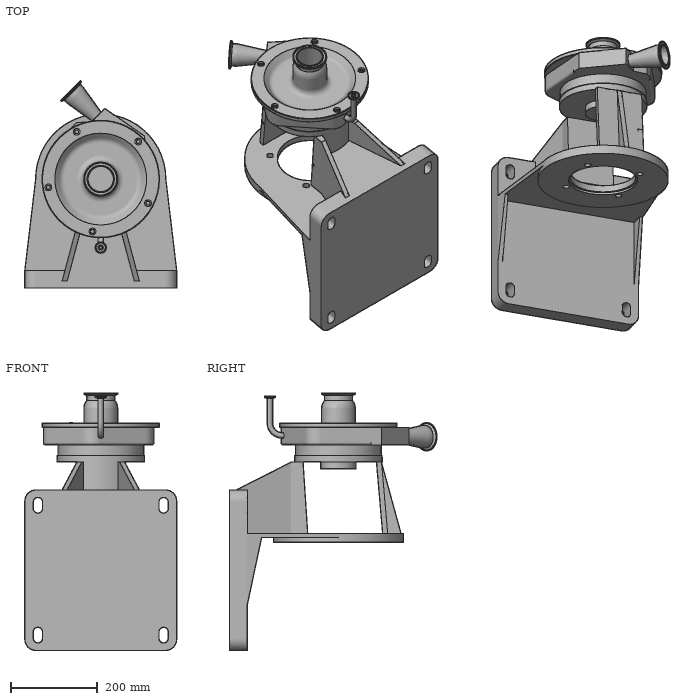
import cadquery as cq
import math


plate_width = 350.0
plate_height = 370.5
plate_front_y = -251.0
plate_thickness = 41.0
plate_back_y = plate_front_y + plate_thickness
plate_corner_radius = 26.0
slot_width = 21.0
slot_length = 35.5
slot_x = 145.0
slot_low_z = 35.5
slot_high_z = plate_height - slot_low_z

base_top_z = 270.0
base_sheet_thickness = 10.0
base_thickness = 21.0
base_radius = 150.0
base_bore_radius = 75.0
base_recess_radius = 79.5
base_recess_depth = 5.5
base_bolt_circle_radius = 92.0
base_bolt_count = 4
base_bolt_diameter = 15.0

bracket_front_y = -177.0
bracket_low_z = 104.0
bracket_thickness = 11.0

lantern_top_z = 434.5
lantern_ring_height = 15.5
lantern_ring_radius = 101.0
leg_width = 110.5
front_leg_outer_y = -108.5
front_leg_inner_low_y = -70.5
front_leg_inner_high_y = -81.5
back_leg_inner_low_y = 101.5
back_leg_inner_high_y = 87.0
back_leg_thickness = 12.0
back_rib_low_y = 144.0
pin_hole_diameter = 6.0
pin_hole_depth = 12.0
pin_hole_z = 340.0
front_pin_hole_y = -79.0
back_pin_hole_y = 103.0

gusset_thickness = 11.0
gusset_angle = 15.0
gusset_end_y = -235.0

casing_bottom_z = 473.5
casing_top_z = 514.0
casing_sides = 5
casing_first_corner_angle = 45.0
casing_corner_radius = 34.5
casing_corner_offset = 99.0
casing_bottom_fillet = 5.5
casing_neck_radius = 99.0
hub_radius = 41.0
hub_bottom_z = 418.5

outlet_angle = 135.0
outlet_offset = 95.0
outlet_z = 492.5
outlet_face_distance = 108.5
outlet_block_inner = 78.5
outlet_heel_length = 24.5
outlet_tongue_distance = 131.0
outlet_tongue_end = 53.0
outlet_block_outer = 121.5
outlet_end_distance = 193.5
outlet_base_radius = 15.5
outlet_mouth_radius = 26.0
outlet_flange_radius = 32.5
outlet_straight_length = 16.5
outlet_collar_length = 3.5
outlet_wall = 3.5

cover_top_z = 524.5
cover_radius = 135.5
cover_edge_chamfer = 1.0
cover_dish_radius = 105.5
cover_lip = 2.0
cover_floor_radius = 83.5
cover_floor_fillet = 14.0
cover_floor_z = 508.0
cover_bolt_circle_radius = 122.0
cover_bolt_diameter = 9.0
cover_counterbore_diameter = 15.5
cover_counterbore_depth = 6.0

inlet_top_z = 593.5
inlet_radius = 39.0
inlet_neck_radius = 32.5
inlet_bore_radius = 29.0
inlet_foot_radius = 54.0
inlet_shoulder_low_z = 558.5
inlet_shoulder_high_z = 575.5

rim_edge = 3.0
rim_cone = 3.0
rim_groove_depth = 1.0
rim_groove_margin = 2.5

drain_y = -158.0
drain_radius = 6.5
drain_bore_radius = 3.5
drain_z = 495.5
drain_bend_radius = 28.5
drain_inner_y = -107.0
drain_top_z = 586.5
drain_flange_radius = 13.0


def polar(radius, degrees):
    """Point at the given distance and angle from the pump axis."""
    angle = math.radians(degrees)
    return (radius * math.cos(angle), radius * math.sin(angle))


def cylinder(radius, low_z, high_z):
    return cq.Workplane("XY").workplane(offset=low_z).circle(radius).extrude(high_z - low_z)


def side_prism(points, width, center_x=0.0):
    """Extrude a (y, z) outline along X, centred on center_x."""
    return cq.Workplane("YZ").workplane(offset=center_x - width / 2).polyline(points).close().extrude(width)


def base_outline(low_z, height):
    """Half-round end about the pump axis, with straight sides that run to the plate's back corners."""
    corner_x = plate_width / 2
    return (
        cq.Workplane("XY").workplane(offset=low_z)
        .moveTo(-corner_x, plate_back_y)
        .lineTo(corner_x, plate_back_y)
        .lineTo(base_radius, 0)
        .threePointArc((0, base_radius), (-base_radius, 0))
        .close()
        .extrude(height)
    )


def mounting_plate():
    plate = (
        cq.Workplane("XY")
        .box(plate_width, plate_thickness, plate_height, centered=(True, False, False))
        .translate((0, plate_front_y, 0))
        .edges("|Y").fillet(plate_corner_radius)
    )
    slot_centers = [(x, z) for x in (-slot_x, slot_x) for z in (slot_low_z, slot_high_z)]
    slots = (
        cq.Workplane("XZ").workplane(offset=-plate_back_y)
        .pushPoints(slot_centers)
        .slot2D(slot_length, slot_width, 90)
        .extrude(plate_thickness)
    )
    return plate.cut(slots)


def base():
    bottom_z = base_top_z - base_thickness
    sheet = base_outline(base_top_z - base_sheet_thickness, base_sheet_thickness)
    body = sheet.union(cylinder(base_radius, bottom_z, base_top_z))
    bolt_holes = (
        cq.Workplane("XY").workplane(offset=bottom_z)
        .polarArray(base_bolt_circle_radius, 45, 360, base_bolt_count)
        .circle(base_bolt_diameter / 2)
        .extrude(base_thickness)
    )
    bore = cylinder(base_bore_radius, bottom_z, base_top_z)
    recess = cylinder(base_recess_radius, bottom_z, bottom_z + base_recess_depth)
    return body.cut(bore).cut(recess).cut(bolt_holes)


def brackets():
    """Triangles under both tapered edges of the base, flush with its sides."""
    wedge = side_prism(
        [(bracket_front_y, base_top_z), (plate_back_y, base_top_z), (plate_back_y, bracket_low_z),
         (bracket_front_y, base_top_z - base_sheet_thickness)],
        plate_width,
    )
    outline = base_outline(bracket_low_z, base_top_z - bracket_low_z)
    edge_x = plate_width / 2 - bracket_thickness
    inside = cq.Workplane("XY").box(2 * edge_x, 2 * plate_width, 2 * base_top_z - 2 * base_sheet_thickness)
    return wedge.intersect(outline).cut(inside)


def front_leg():
    """Leg with a leaning inner face; its outside follows the lantern ring between the gussets."""
    leg = side_prism(
        [(front_leg_inner_low_y, base_top_z), (front_leg_inner_high_y, lantern_top_z),
         (front_leg_outer_y, lantern_top_z), (front_leg_outer_y, base_top_z)],
        leg_width,
    )
    return leg.intersect(cylinder(lantern_ring_radius, base_top_z, lantern_top_z))


def gusset_outline(side):
    """Plan of one gusset: side is -1 for the -X one and +1 for the +X one."""
    slope = math.tan(math.radians(gusset_angle))
    inner_shift = gusset_thickness / math.cos(math.radians(gusset_angle))
    start_x = leg_width / 2
    end_x = start_x + slope * (front_leg_outer_y - gusset_end_y)
    inner_start_x = start_x - inner_shift + slope * (front_leg_outer_y - front_leg_inner_high_y)
    points = [
        (start_x, front_leg_inner_high_y),
        (start_x, front_leg_outer_y),
        (end_x, gusset_end_y),
        (end_x - inner_shift, gusset_end_y),
        (inner_start_x, front_leg_inner_high_y),
    ]
    return [(side * x, y) for x, y in points]


def gussets():
    """Two gussets sloping down to the plate's top, and the filling between them level with that top."""
    height = lantern_top_z - base_top_z
    floor = cq.Workplane("XY").workplane(offset=base_top_z)
    profile = side_prism(
        [(front_leg_inner_low_y, base_top_z), (front_leg_inner_high_y, lantern_top_z),
         (front_leg_outer_y, lantern_top_z), (gusset_end_y, plate_height), (gusset_end_y, base_top_z)],
        plate_width,
    )
    left_points = gusset_outline(-1)
    right_points = gusset_outline(1)
    left = floor.polyline(left_points).close().extrude(height)
    right = floor.polyline(right_points).close().extrude(height)
    filling_points = left_points[-2:][::-1] + right_points[-2:]
    filling = floor.polyline(filling_points).close().extrude(plate_height - base_top_z)
    return left.union(right).intersect(profile).union(filling)


def back_leg():
    """Leaning flat leg with a triangular rib on its outside."""
    leg = side_prism(
        [(back_leg_inner_low_y, base_top_z), (back_leg_inner_high_y, lantern_top_z),
         (back_leg_inner_high_y + back_leg_thickness, lantern_top_z),
         (back_leg_inner_low_y + back_leg_thickness, base_top_z)],
        leg_width,
    )
    rib = side_prism(
        [(back_leg_inner_low_y, base_top_z), (back_leg_inner_high_y, lantern_top_z),
         (back_leg_inner_high_y + back_leg_thickness, lantern_top_z), (back_rib_low_y, base_top_z)],
        gusset_thickness,
    )
    return leg.union(rib)


def pin_holes():
    """Small blind holes in the -X sides of both legs."""
    return (
        cq.Workplane("YZ").workplane(offset=-leg_width / 2)
        .pushPoints([(front_pin_hole_y, pin_hole_z), (back_pin_hole_y, pin_hole_z)])
        .circle(pin_hole_diameter / 2)
        .extrude(pin_hole_depth)
    )


def lantern():
    ring = cylinder(lantern_ring_radius, lantern_top_z, lantern_top_z + lantern_ring_height)
    legs = front_leg().union(gussets()).union(back_leg()).cut(pin_holes())
    return ring.union(legs)


def corner_angles():
    return [casing_first_corner_angle + i * 360 / casing_sides for i in range(casing_sides)]


def casing_body():
    corner_centers = [polar(casing_corner_offset, angle) for angle in corner_angles()]
    return (
        cq.Workplane("XY").workplane(offset=casing_bottom_z)
        .polyline(corner_centers).close()
        .offset2D(casing_corner_radius)
        .extrude(casing_top_z - casing_bottom_z)
        .faces("<Z").edges().fillet(casing_bottom_fillet)
    )


def facet_point(corner_angle, facet_angle):
    """Point where a flat casing side, facing facet_angle, meets the round of the corner at corner_angle."""
    center_x, center_y = polar(casing_corner_offset, corner_angle)
    offset_x, offset_y = polar(casing_corner_radius, facet_angle)
    return (center_x + offset_x, center_y + offset_y)


def outlet_block():
    """Block between the first two casing corners and the outlet face.

    The casing sides before and after it run on straight past their corners into the block.
    Drawn with Y along the outlet, then turned to the outlet direction.
    """
    turn = outlet_angle - 90
    half_step = 180 / casing_sides
    first_corner = casing_first_corner_angle - turn
    second_corner = first_corner + 2 * half_step
    heel_facet = first_corner - half_step
    tongue_facet = second_corner + half_step

    heel_x, heel_y = facet_point(first_corner, heel_facet)
    step_x, step_y = polar(outlet_heel_length, heel_facet + 90)
    tongue_x, tongue_y = facet_point(second_corner, tongue_facet)
    tongue_run = (outlet_tongue_distance - tongue_y) * math.tan(math.radians(tongue_facet))
    block = (
        cq.Workplane("XY").workplane(offset=casing_bottom_z)
        .polyline([
            (0, 0),
            (heel_x, heel_y),
            (heel_x + step_x, heel_y + step_y),
            (outlet_block_outer, outlet_face_distance),
            (outlet_block_inner, outlet_face_distance),
            (outlet_tongue_end, outlet_tongue_distance),
            (tongue_x - tongue_run, outlet_tongue_distance),
            (tongue_x, tongue_y),
        ])
        .close()
        .extrude(casing_top_z - casing_bottom_z)
    )
    return block.rotate((0, 0, 0), (0, 0, 1), turn)


def outlet_workplane():
    """Plane through the outlet axis: local X is the radius, local Y runs outward along the axis."""
    across_x, across_y = polar(1, outlet_angle - 90)
    origin = (outlet_offset * across_x, outlet_offset * across_y, outlet_z)
    return cq.Workplane(cq.Plane(origin=origin, xDir=(0, 0, 1), normal=(-across_x, -across_y, 0)))


def outlet_pipe():
    collar_end = outlet_face_distance + outlet_collar_length
    mouth_start = outlet_end_distance - outlet_straight_length
    rim_start = outlet_end_distance - rim_edge
    return (
        outlet_workplane()
        .polyline([
            (0, outlet_face_distance), (outlet_base_radius, outlet_face_distance),
            (outlet_base_radius, collar_end),
            (outlet_mouth_radius, mouth_start), (outlet_mouth_radius, rim_start - rim_cone),
            (outlet_flange_radius, rim_start), (outlet_flange_radius, outlet_end_distance),
            (0, outlet_end_distance),
        ])
        .close()
        .revolve(360, (0, 0), (0, 1))
    )


def outlet_bore():
    collar_end = outlet_face_distance + outlet_collar_length
    mouth_start = outlet_end_distance - outlet_straight_length
    return (
        outlet_workplane()
        .polyline([
            (0, outlet_face_distance), (outlet_base_radius - outlet_wall, outlet_face_distance),
            (outlet_base_radius - outlet_wall, collar_end),
            (outlet_mouth_radius - outlet_wall, mouth_start),
            (outlet_mouth_radius - outlet_wall, outlet_end_distance), (0, outlet_end_distance),
        ])
        .close()
        .revolve(360, (0, 0), (0, 1))
    )


def cover_flange():
    return cylinder(cover_radius, casing_top_z, cover_top_z).edges().chamfer(cover_edge_chamfer)


def cover_dish():
    """Hollow of the cover: chamfered lip, 45 degree wall and a fillet down to a flat floor."""
    fillet_reach = cover_floor_fillet * math.sin(math.radians(45))
    fillet_rise = cover_floor_fillet - fillet_reach
    wall_radius = cover_dish_radius - cover_lip
    return (
        cq.Workplane("XZ")
        .moveTo(0, cover_floor_z)
        .lineTo(cover_floor_radius, cover_floor_z)
        .tangentArcPoint((cover_floor_radius + fillet_reach, cover_floor_z + fillet_rise), relative=False)
        .lineTo(wall_radius, cover_top_z - cover_lip)
        .lineTo(cover_dish_radius, cover_top_z)
        .lineTo(0, cover_top_z)
        .close()
        .revolve(360, (0, 0), (0, 1))
    )


def inlet_pipe():
    """Pipe rising from the dish floor: round foot, curved shoulder, neck and clamp flange."""
    rim_low_z = inlet_top_z - rim_edge
    foot_height = inlet_foot_radius - inlet_radius
    return (
        cq.Workplane("XZ")
        .moveTo(0, cover_floor_z)
        .lineTo(inlet_foot_radius, cover_floor_z)
        .radiusArc((inlet_radius, cover_floor_z + foot_height), foot_height)
        .lineTo(inlet_radius, inlet_shoulder_low_z)
        .tangentArcPoint((inlet_neck_radius, inlet_shoulder_high_z), relative=False)
        .lineTo(inlet_neck_radius, rim_low_z - rim_cone)
        .lineTo(inlet_radius, rim_low_z)
        .lineTo(inlet_radius, inlet_top_z)
        .lineTo(0, inlet_top_z)
        .close()
        .revolve(360, (0, 0), (0, 1))
    )


def rim_groove(inner_radius, outer_radius):
    """Gasket groove below Z = 0, inset from both edges of a clamp flange face."""
    groove_inner = inner_radius + rim_groove_margin
    groove_outer = outer_radius - rim_groove_margin
    return cylinder(groove_outer, -rim_groove_depth, 0).cut(cylinder(groove_inner, -rim_groove_depth, 0))


def rim_grooves():
    inlet = rim_groove(inlet_bore_radius, inlet_radius).translate((0, 0, inlet_top_z))
    drain = rim_groove(drain_bore_radius, drain_flange_radius).translate((0, drain_y, drain_top_z))
    outlet = (
        rim_groove(outlet_mouth_radius - outlet_wall, outlet_flange_radius)
        .rotate((0, 0, 0), (1, 0, 0), -90)
        .translate((outlet_offset, outlet_end_distance, outlet_z))
        .rotate((0, 0, 0), (0, 0, 1), outlet_angle - 90)
    )
    return inlet.union(drain).union(outlet)


def cover_bolt_holes():
    holes = cq.Workplane("XY")
    for angle in corner_angles():
        x, y = polar(cover_bolt_circle_radius, angle)
        through = cylinder(cover_bolt_diameter / 2, casing_top_z, cover_top_z)
        counterbore_low_z = cover_top_z - cover_counterbore_depth
        counterbore = cylinder(cover_counterbore_diameter / 2, counterbore_low_z, cover_top_z)
        holes = holes.union(through.union(counterbore).translate((x, y, 0)))
    return holes


def drain_sweep(radius):
    """Round bar along the drain: out of the casing toward -Y, then up."""
    bend_center_y = drain_y + drain_bend_radius
    bend_center_z = drain_z + drain_bend_radius
    bend_reach = drain_bend_radius * math.sin(math.radians(45))
    path = (
        cq.Workplane("YZ")
        .moveTo(drain_y, drain_top_z)
        .lineTo(drain_y, bend_center_z)
        .threePointArc((bend_center_y - bend_reach, bend_center_z - bend_reach), (bend_center_y, drain_z))
        .lineTo(drain_inner_y, drain_z)
    )
    start = cq.Workplane("XY", origin=(0, drain_y, drain_top_z))
    return start.circle(radius).sweep(path)


def drain_flange():
    rim_low_z = drain_top_z - rim_edge
    return (
        cq.Workplane("XZ", origin=(0, drain_y, 0))
        .polyline([
            (0, rim_low_z - rim_cone), (drain_radius, rim_low_z - rim_cone),
            (drain_flange_radius, rim_low_z), (drain_flange_radius, drain_top_z), (0, drain_top_z),
        ])
        .close()
        .revolve(360, (0, 0), (0, 1))
    )


def pump():
    casing = casing_body().union(outlet_block())
    neck = cylinder(casing_neck_radius, lantern_top_z + lantern_ring_height, casing_bottom_z)
    hub = cylinder(hub_radius, hub_bottom_z, lantern_top_z)
    inlet_bore = cylinder(inlet_bore_radius, casing_bottom_z + casing_bottom_fillet, inlet_top_z)
    body = casing.union(cover_flange()).cut(cover_dish()).cut(cover_bolt_holes())
    body = body.union(inlet_pipe()).cut(inlet_bore)
    body = body.union(neck).union(hub).union(outlet_pipe()).cut(outlet_bore())
    drain = drain_sweep(drain_radius).union(drain_flange())
    return body.union(drain).cut(drain_sweep(drain_bore_radius)).cut(rim_grooves())


stand = mounting_plate().union(base()).union(brackets()).union(lantern())
result = stand.union(pump())